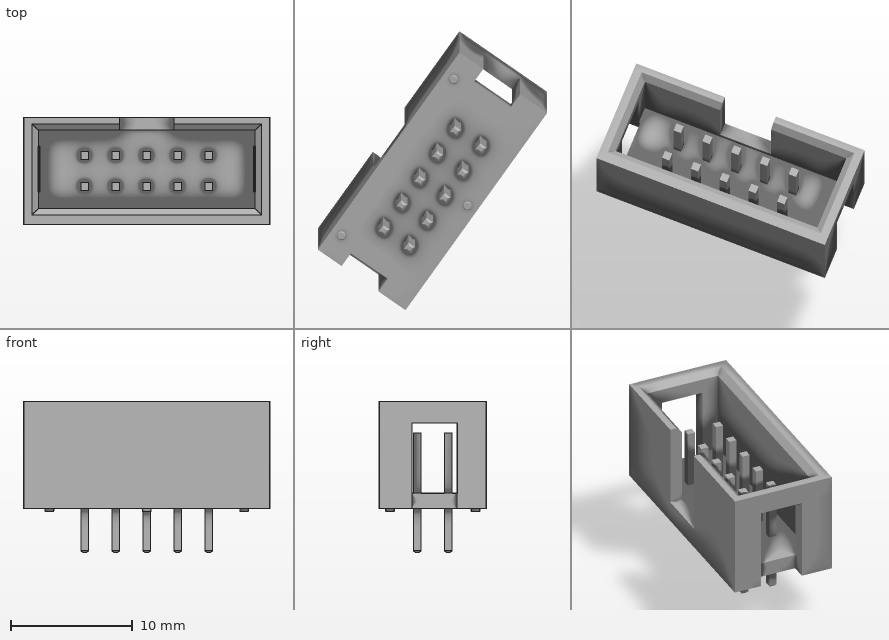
import cadquery as cq

length = 20.2
width = 8.8
height = 8.8
floor_thickness = 1.27
end_wall = 1.2
front_wall = 1.31
back_wall = 1.05
rim_chamfer = 0.5

key_width = 4.5
key_sill = 1.8
window_width = 3.7
window_top = 7.03
window_offset = 0.16
window_depth = 1.31

pin_columns = 5
pin_rows = 2
pin_pitch = 2.55
pin_size = 0.65
pin_top = 6.22
pin_drop = 3.6
tip_height = 0.16
tip_inset = 0.16

foot_diameter = 0.73
foot_height = 0.25
foot_fillet = 0.1
foot_x = 8.0
foot_y = 3.51
foot_positions = [(-foot_x, foot_y), (foot_x, foot_y), (0, -foot_y)]


def block(size_x, size_y, bottom, top, x=0.0, y=0.0):
    """Box centred on (x, y) that spans bottom to top in Z."""
    box = cq.Workplane("XY").box(size_x, size_y, top - bottom, centered=(True, True, False))
    return box.translate((x, y, bottom))


def make_cavity():
    """Inner space of the shroud, widened by a bevel at the rim."""
    cavity_length = length - 2 * end_wall
    cavity_width = width - front_wall - back_wall
    cavity_y = (front_wall - back_wall) / 2
    cavity = block(cavity_length, cavity_width, floor_thickness, height, y=cavity_y)
    bevel = (
        cq.Workplane("XY", origin=(0, cavity_y, height - rim_chamfer))
        .rect(cavity_length, cavity_width)
        .workplane(offset=rim_chamfer)
        .rect(cavity_length + 2 * rim_chamfer, cavity_width + 2 * rim_chamfer)
        .loft(ruled=True)
    )
    return cavity.union(bevel)


def make_shroud():
    """Box with its cavity, the key opening at +Y and a window in each end."""
    shroud = block(length, width, 0, height).cut(make_cavity())
    key = block(key_width, back_wall, key_sill, height, y=(width - back_wall) / 2)
    shroud = shroud.cut(key)
    for side in (-1, 1):
        window_x = side * (length - window_depth) / 2
        window = block(window_depth, window_width, 0, window_top, window_x, window_offset)
        shroud = shroud.cut(window)
    return shroud


def make_pin():
    """Square pin on the Z axis with a tapered lower tip."""
    shaft = block(pin_size, pin_size, tip_height - pin_drop, pin_top)
    tip_size = pin_size - 2 * tip_inset
    tip = (
        cq.Workplane("XY", origin=(0, 0, -pin_drop))
        .rect(tip_size, tip_size)
        .workplane(offset=tip_height)
        .rect(pin_size, pin_size)
        .loft(ruled=True)
    )
    return shaft.union(tip)


def make_foot():
    """Round foot hanging below the underside, rounded at its lower edge."""
    foot = cq.Workplane("XY").circle(foot_diameter / 2).extrude(-foot_height)
    return foot.faces("<Z").fillet(foot_fillet)


result = make_shroud()

pin = make_pin()
for column in range(pin_columns):
    for row in range(pin_rows):
        pin_x = (column - (pin_columns - 1) / 2) * pin_pitch
        pin_y = (row - (pin_rows - 1) / 2) * pin_pitch
        result = result.union(pin.translate((pin_x, pin_y, 0)))

foot = make_foot()
for x, y in foot_positions:
    result = result.union(foot.translate((x, y, 0)))